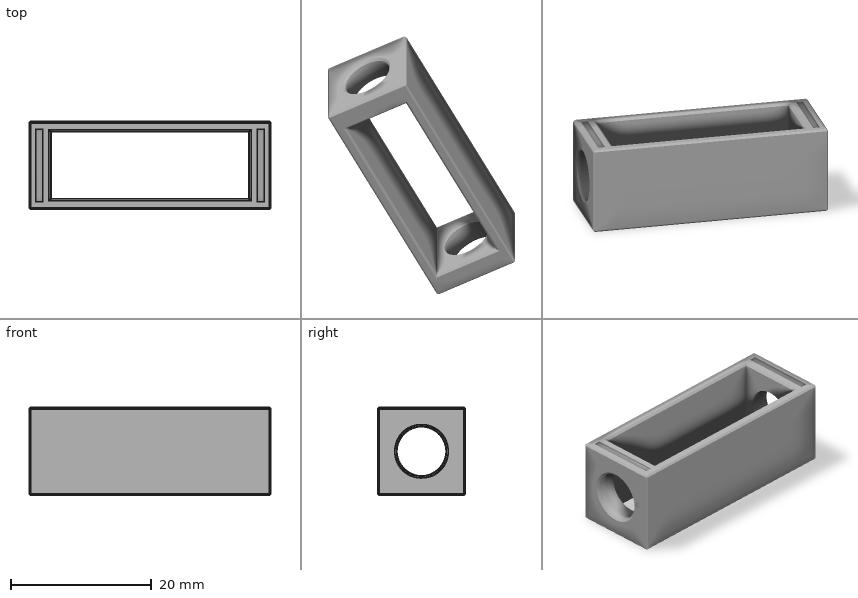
import cadquery as cq

LENGTH = 34.375
SIDE = 12.5
EDGE_CHAMFER = 0.25

END_WALL = 3.125
SIDE_WALL = 1.5
WINDOW_LENGTH = LENGTH - 2 * END_WALL
WINDOW_WIDTH = SIDE - 2 * SIDE_WALL
WINDOW_CHAMFER = 0.3

HOLE_DIAMETER = 7.0
HOLE_CHAMFER = 0.3

RECESS_WIDTH = 1.0
RECESS_LENGTH = 10.3
RECESS_DEPTH = 0.25
RECESS_EDGE_DISTANCE = 1.45


def make_block():
    return cq.Workplane("XY").box(LENGTH, SIDE, SIDE).edges().chamfer(EDGE_CHAMFER)


def make_window_cutter():
    """Rectangular prism with flared ends that bevel the top and bottom rims."""
    cutter = cq.Workplane("XY").box(WINDOW_LENGTH, WINDOW_WIDTH, SIDE)
    top_flare = (
        cq.Workplane("XY", origin=(0, 0, SIDE / 2 - WINDOW_CHAMFER))
        .rect(WINDOW_LENGTH, WINDOW_WIDTH)
        .workplane(offset=WINDOW_CHAMFER)
        .rect(WINDOW_LENGTH + 2 * WINDOW_CHAMFER, WINDOW_WIDTH + 2 * WINDOW_CHAMFER)
        .loft(ruled=True)
    )
    return cutter.union(top_flare).union(top_flare.mirror("XY"))


def make_hole_cutter():
    """Cylinder along X with conical ends that bevel the outer rims."""
    half_length = LENGTH / 2
    radius = HOLE_DIAMETER / 2
    profile = [
        (-half_length, 0),
        (-half_length, radius + HOLE_CHAMFER),
        (-half_length + HOLE_CHAMFER, radius),
        (half_length - HOLE_CHAMFER, radius),
        (half_length, radius + HOLE_CHAMFER),
        (half_length, 0),
    ]
    return cq.Workplane("XY").polyline(profile).close().revolve(360, (0, 0), (1, 0))


def make_recess_cutters():
    recess_x = LENGTH / 2 - RECESS_EDGE_DISTANCE
    return (
        cq.Workplane("XY", origin=(0, 0, SIDE / 2))
        .pushPoints([(-recess_x, 0), (recess_x, 0)])
        .rect(RECESS_WIDTH, RECESS_LENGTH)
        .extrude(-RECESS_DEPTH)
    )


result = (
    make_block()
    .cut(make_window_cutter())
    .cut(make_hole_cutter())
    .cut(make_recess_cutters())
)